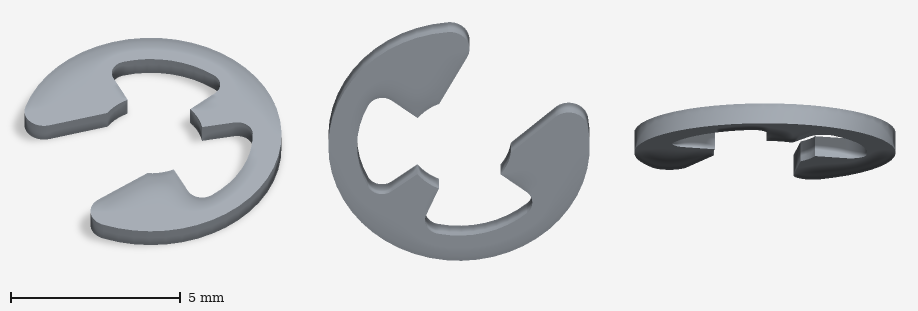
import cadquery as cq
import math

thickness = 0.6
outer_radius = 3.85
pocket_radius = 3.0
bore_radius = 1.54
tooth_half_angle = 15.0
seat_end_angle = 30.0
mouth_flare_angle = 10.0
pocket_fillet = 0.46
tip_fillet = 0.58

cut_reach = 1.2 * outer_radius


def disc(radius):
    return cq.Workplane("XY").circle(radius).extrude(thickness)


def relief_pocket():
    """Left band pocket, from the -X axis to the flank of the top tooth."""
    start = math.radians(180)
    end = math.radians(90 + tooth_half_angle)
    middle = (start + end) / 2

    def on_band(angle):
        return (pocket_radius * math.cos(angle), pocket_radius * math.sin(angle))

    sector = (
        cq.Workplane("XY")
        .moveTo(0, 0)
        .lineTo(*on_band(start))
        .threePointArc(on_band(middle), on_band(end))
        .close()
        .extrude(thickness)
    )
    band_corners = [
        edge
        for edge in sector.edges("|Z").vals()
        if math.hypot(edge.Center().x, edge.Center().y) > bore_radius
    ]
    return sector.newObject([sector.val().fillet(pocket_fillet, band_corners)])


def mouth():
    """Opening between the prongs, widening toward -Y."""
    seat_end = math.radians(seat_end_angle)
    top_x = bore_radius * math.cos(seat_end)
    top_y = -bore_radius * math.sin(seat_end)
    bottom_x = top_x + (cut_reach + top_y) * math.tan(math.radians(mouth_flare_angle))
    outline = [
        (-top_x, top_y),
        (top_x, top_y),
        (bottom_x, -cut_reach),
        (-bottom_x, -cut_reach),
    ]
    return cq.Workplane("XY").polyline(outline).close().extrude(thickness)


blank = disc(outer_radius).cut(mouth())
tip_corners = [
    edge
    for edge in blank.edges("|Z").vals()
    if edge.Center().y < -outer_radius / 2
]
clip = blank.newObject([blank.val().fillet(tip_fillet, tip_corners)])

left_pocket = relief_pocket()
right_pocket = left_pocket.mirror("YZ")

result = clip.cut(disc(bore_radius)).cut(left_pocket).cut(right_pocket)